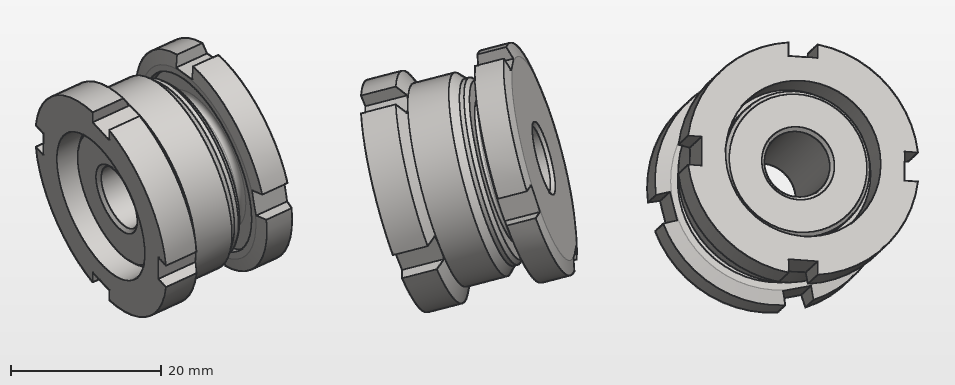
import cadquery as cq
import math

OUTER_RADIUS = 16.0

NOTCH_COUNT = 4
NOTCH_WIDTH = 4.0
NUT_NOTCH_TURN = 14.4

BARREL_RADIUS = 14.0
FLANGE_RIM_LENGTH = 4.85
FLANGE_LENGTH = 5.95
SHOULDER_START = 11.67
SHOULDER_RADIUS = 12.88
SHOULDER_END = SHOULDER_START + BARREL_RADIUS - SHOULDER_RADIUS
HOUSING_LENGTH = 14.0
HOUSING_CHAMFER = 0.58
RECESS_RADIUS = 10.7
RECESS_DEPTH = 5.0

NUT_BACK = 20.43
NUT_THICKNESS = 5.0
NUT_FRONT = NUT_BACK - NUT_THICKNESS
NUT_CHAMFER_LENGTH = 0.48
NUT_FACE_RADIUS = BARREL_RADIUS
NUT_RECESS_RADIUS = 13.0
NUT_RECESS_DEPTH = 1.0
NUT_RECESS_FLOOR = NUT_FRONT + NUT_RECESS_DEPTH

HUB_RADIUS = 10.0
HUB_FRONT = 2.5
HUB_CHAMFER = 0.5
NECK_RADIUS = 9.18
NECK_START = 14.7
NECK_FILLET = 0.83
NECK_CONE_ANGLE = math.radians(30)
FILLET_END_RADIUS = NECK_RADIUS + NECK_FILLET * (1 - math.cos(NECK_CONE_ANGLE))
FILLET_END = NECK_START - NECK_FILLET * math.sin(NECK_CONE_ANGLE)
FILLET_MIDDLE_RADIUS = NECK_RADIUS + NECK_FILLET * (1 - math.cos(NECK_CONE_ANGLE / 2))
FILLET_MIDDLE = NECK_START - NECK_FILLET * math.sin(NECK_CONE_ANGLE / 2)
CONE_END = FILLET_END - (HUB_RADIUS - FILLET_END_RADIUS) / math.tan(NECK_CONE_ANGLE)

BORE_RADIUS = 4.5
BORE_CHAMFER = 0.5
BORE_MOUTH_RADIUS = BORE_RADIUS + BORE_CHAMFER


def turn(outline):
    """Revolve an outline of (radius, y) points about the Y axis, closing it first."""
    return outline.close().revolve(360, (0, 0, 0), (0, 1, 0))


def cut_notches(body, start, end, turned=0.0):
    """Cut equally spaced radial notches in the rim between two y positions."""
    depth = OUTER_RADIUS - BARREL_RADIUS
    notch = cq.Workplane("XY").box(NOTCH_WIDTH, end - start, depth).translate(
        (0, (start + end) / 2, BARREL_RADIUS + depth / 2)
    )
    for i in range(NOTCH_COUNT):
        angle = i * 360 / NOTCH_COUNT - turned
        body = body.cut(notch.rotate((0, 0, 0), (0, 1, 0), angle))
    return body


def make_housing():
    outline = cq.Workplane("XY").polyline([
        (RECESS_RADIUS, 0),
        (OUTER_RADIUS, 0),
        (OUTER_RADIUS, FLANGE_RIM_LENGTH),
        (BARREL_RADIUS, FLANGE_LENGTH),
        (BARREL_RADIUS, SHOULDER_START),
        (SHOULDER_RADIUS, SHOULDER_END),
        (SHOULDER_RADIUS, HOUSING_LENGTH - HOUSING_CHAMFER),
        (SHOULDER_RADIUS - HOUSING_CHAMFER, HOUSING_LENGTH),
        (HUB_RADIUS, HOUSING_LENGTH),
        (HUB_RADIUS, RECESS_DEPTH),
        (RECESS_RADIUS, RECESS_DEPTH),
    ])
    body = turn(outline)
    return cut_notches(body, 0, FLANGE_LENGTH)


def make_nut():
    hub_points = [
        (BORE_MOUTH_RADIUS, HUB_FRONT),
        (HUB_RADIUS - HUB_CHAMFER, HUB_FRONT),
        (HUB_RADIUS, HUB_FRONT + HUB_CHAMFER),
        (HUB_RADIUS, CONE_END),
        (FILLET_END_RADIUS, FILLET_END),
    ]
    rim_and_bore_points = [
        (NUT_RECESS_RADIUS, NUT_RECESS_FLOOR),
        (NUT_RECESS_RADIUS, NUT_FRONT),
        (NUT_FACE_RADIUS, NUT_FRONT),
        (OUTER_RADIUS, NUT_FRONT + NUT_CHAMFER_LENGTH),
        (OUTER_RADIUS, NUT_BACK - NUT_CHAMFER_LENGTH),
        (NUT_FACE_RADIUS, NUT_BACK),
        (BORE_MOUTH_RADIUS, NUT_BACK),
        (BORE_RADIUS, NUT_BACK - BORE_CHAMFER),
        (BORE_RADIUS, HUB_FRONT + BORE_CHAMFER),
    ]
    outline = (
        cq.Workplane("XY")
        .polyline(hub_points)
        .threePointArc((FILLET_MIDDLE_RADIUS, FILLET_MIDDLE), (NECK_RADIUS, NECK_START))
        .lineTo(NECK_RADIUS, NUT_RECESS_FLOOR - NECK_FILLET)
        .radiusArc((NECK_RADIUS + NECK_FILLET, NUT_RECESS_FLOOR), NECK_FILLET)
        .polyline(rim_and_bore_points, includeCurrent=True)
    )
    body = turn(outline)
    return cut_notches(body, NUT_FRONT, NUT_BACK, NUT_NOTCH_TURN)


housing = make_housing()
nut = make_nut()

result = cq.Compound.makeCompound([housing.val(), nut.val()])